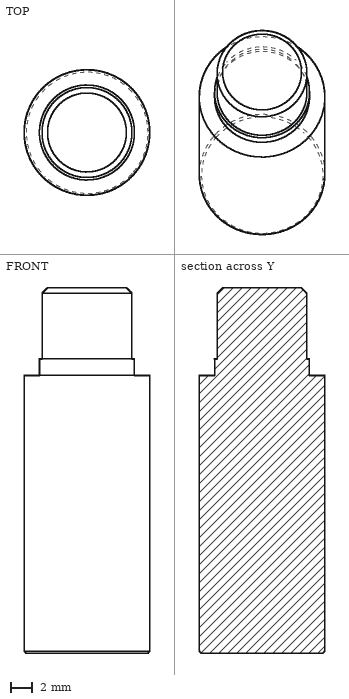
import cadquery as cq

total_length = 33.4
body_diameter = 11.5
collar_diameter = 8.7
tip_diameter = 8.2
neck_length = 8.0
collar_length = 1.5
tip_chamfer = 0.5
base_chamfer = 0.2

body_length = total_length - neck_length
tip_length = neck_length - collar_length

body = cq.Workplane("XY").circle(body_diameter / 2).extrude(body_length)
body = body.faces("<Z").edges().chamfer(base_chamfer)

collar = (
    cq.Workplane("XY")
    .workplane(offset=body_length)
    .circle(collar_diameter / 2)
    .extrude(collar_length)
)

tip = (
    cq.Workplane("XY")
    .workplane(offset=body_length + collar_length)
    .circle(tip_diameter / 2)
    .extrude(tip_length)
)
tip = tip.faces(">Z").edges().chamfer(tip_chamfer)

result = body.union(collar).union(tip)